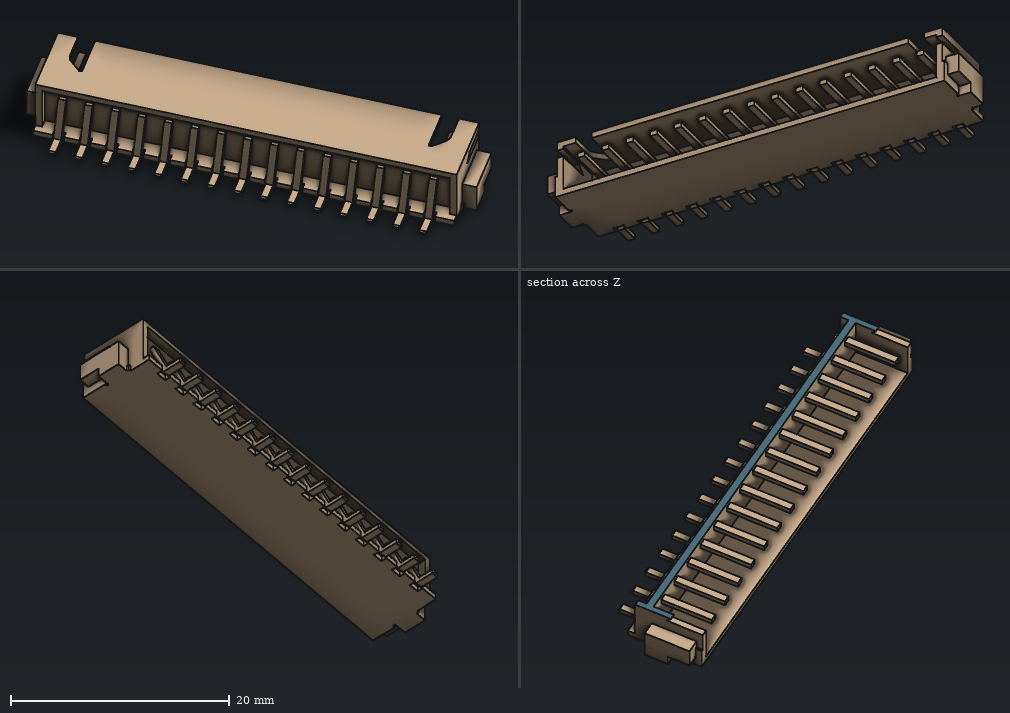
import cadquery as cq


overall_length = 43.15
tab_projection = 1.4
housing_length = overall_length - 2 * tab_projection
housing_depth = 7.08
housing_height = 5.9
wall = 0.65
inner_length = housing_length - 2 * wall
inner_top = housing_height - wall

partition_front = 5.45
partition_back = 6.2
sill_depth = 7.8
sill_height = 0.65
sill_notch_start = 7.2
sill_notch_width = 1.1

pin_count = 15
pin_row_span = 35.55
pin_pitch = pin_row_span / (pin_count - 1)
pin_width = 0.75
pin_thickness = 0.5
pin_top = 4.2
pin_front = 0.17
shoulder_depth = 6.6
heel_depth = 8.1
leg_thickness = 0.55
foot_end = 9.92
tip_taper_length = 0.17
tip_taper_inset = 0.15

top_slot_outer_x = 18.25
top_slot_inner_x = 16.6
top_slot_outer_depth = 2.9
top_slot_tip_depth = 4.45
top_slot_tip_radius = 0.17
top_slot_bend_radius = 1.1

end_slot_bottom = 4.25
end_slot_top = 5.0
end_slot_upper_depth = 2.95
end_slot_lower_depth = 3.75

tab_start = 0.65
tab_end = 5.3
tab_top = 3.0
tab_underside = 1.05
tab_leg_start = 2.9
pad_projection = 0.2
rear_pad_end = 2.68
rear_pad_height = 2.2
front_pad_end = 5.55
front_pad_height = sill_height


def block(x_range, depth_range, z_range):
    """Box between two X values, two depths behind the mating face and two heights."""
    x0, x1 = x_range
    d0, d1 = depth_range
    z0, z1 = z_range
    return cq.Workplane("XY").box(x1 - x0, d1 - d0, z1 - z0, centered=False).translate((x0, -d1, z0))


def centered_block(length, depth_range, z_range):
    return block((-length / 2, length / 2), depth_range, z_range)


def both_ends(shape):
    return shape.union(shape.mirror("YZ"))


def side_profile(points, width):
    """Extrude (depth, height) points symmetrically about the YZ plane."""
    outline = [(-depth, height) for depth, height in points]
    return cq.Workplane("YZ").polyline(outline).close().extrude(width / 2, both=True)


def make_housing():
    housing = centered_block(housing_length, (0, housing_depth), (0, housing_height))
    sill = centered_block(housing_length, (partition_back, sill_depth), (0, sill_height))
    cavity = centered_block(inner_length, (0, partition_front), (wall, inner_top))
    recess = centered_block(inner_length, (partition_back, housing_depth), (sill_height, inner_top))
    return housing.cut(cavity).cut(recess).union(sill)


def make_top_slots():
    outline = [
        (top_slot_outer_x, 0),
        (top_slot_outer_x, -top_slot_outer_depth),
        (top_slot_inner_x, -top_slot_tip_depth),
        (top_slot_inner_x, 0),
    ]
    slot = cq.Workplane("XY").workplane(offset=inner_top).polyline(outline).close().extrude(wall)
    slot = slot.edges("|Z and <Y").fillet(top_slot_tip_radius)
    bend_point = (top_slot_outer_x, -top_slot_outer_depth, inner_top + wall / 2)
    slot = slot.edges(cq.selectors.NearestToPointSelector(bend_point)).fillet(top_slot_bend_radius)
    return both_ends(slot)


def make_end_slots():
    outline = [
        (0, end_slot_bottom),
        (end_slot_lower_depth, end_slot_bottom),
        (end_slot_upper_depth, end_slot_top),
        (0, end_slot_top),
    ]
    return side_profile(outline, housing_length)


def make_end_tabs():
    tab_x = (housing_length / 2, overall_length / 2)
    pad_x = (housing_length / 2, housing_length / 2 + pad_projection)
    tab = block(tab_x, (tab_start, tab_end), (tab_underside, tab_top))
    leg = block(tab_x, (tab_leg_start, tab_end), (0, tab_underside))
    rear_pad = block(pad_x, (0, rear_pad_end), (0, rear_pad_height))
    front_pad = block(pad_x, (tab_leg_start, front_pad_end), (0, front_pad_height))
    return both_ends(tab.union(leg).union(rear_pad).union(front_pad))


def make_pin():
    """Straight contact, sloping leg and flat solder foot with a tapered tip."""
    pin_bottom = pin_top - pin_thickness
    slope = (heel_depth - shoulder_depth) / (pin_top - pin_thickness)

    def leg_back(height):
        return shoulder_depth + slope * (pin_top - height) - leg_thickness

    taper_start = foot_end - tip_taper_length
    outline = [
        (pin_front, pin_top),
        (shoulder_depth, pin_top),
        (heel_depth, pin_thickness),
        (taper_start, pin_thickness),
        (taper_start, 0),
        (leg_back(0), 0),
        (leg_back(pin_bottom), pin_bottom),
        (pin_front, pin_bottom),
    ]
    tip = (
        cq.Workplane("XZ", origin=(0, -taper_start, pin_thickness / 2))
        .rect(pin_width, pin_thickness)
        .workplane(offset=tip_taper_length)
        .rect(pin_width - 2 * tip_taper_inset, pin_thickness - 2 * tip_taper_inset)
        .loft(ruled=True)
    )
    return side_profile(outline, pin_width).union(tip)


pin = make_pin()
sill_notch = centered_block(sill_notch_width, (sill_notch_start, sill_depth), (0, sill_height))

result = make_housing().cut(make_top_slots()).cut(make_end_slots()).union(make_end_tabs())
for index in range(pin_count):
    pin_position = (index * pin_pitch - pin_row_span / 2, 0, 0)
    result = result.cut(sill_notch.translate(pin_position)).union(pin.translate(pin_position))